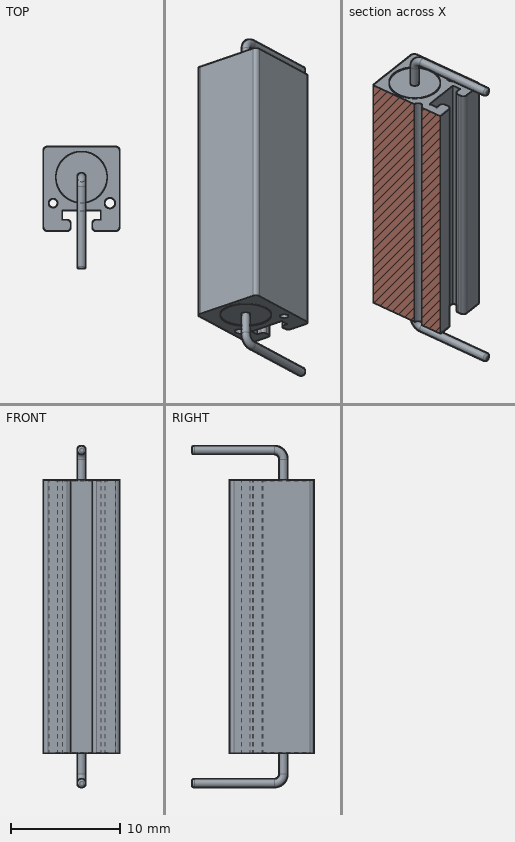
import cadquery as cq

body_width = 7.0
body_depth = 7.75
body_height = 25.02
edge_radius = 0.4

slot_width = 3.5
slot_mouth = 1.95
slot_depth = 1.88
lip_thickness = 1.05
lip_radius = 0.38

recess_diameter = 4.7
recess_depth = 0.1

hole_spacing = 5.2
hole_from_back = 5.2
left_hole_diameter = 0.78
right_hole_diameter = 0.95

lead_diameter = 0.8
lead_from_back = 2.8
bend_radius = 0.85
tip_radius = 0.22
overall_depth = 11.2
overall_height = 31.28

back_y = lead_from_back
front_y = back_y - body_depth
tip_y = back_y - overall_depth
half_height = body_height / 2
lead_z = (overall_height - lead_diameter) / 2


def make_housing():
    block = (
        cq.Workplane("XY")
        .box(body_width, body_depth, body_height)
        .translate((0, (back_y + front_y) / 2, 0))
        .edges("|Z")
        .fillet(edge_radius)
    )
    channel_depth = slot_depth - lip_thickness
    channel = cq.Workplane("XY").box(slot_width, channel_depth, body_height)
    channel = channel.translate((0, front_y + lip_thickness + channel_depth / 2, 0))
    mouth = cq.Workplane("XY").box(slot_mouth, lip_thickness, body_height)
    mouth = mouth.translate((0, front_y + lip_thickness / 2, 0))
    housing = block.cut(channel).cut(mouth)

    lip_box = cq.selectors.BoxSelector(
        (-slot_mouth / 2 - lip_radius / 2, front_y - lip_radius / 2, -half_height),
        (slot_mouth / 2 + lip_radius / 2, front_y + lip_thickness + lip_radius / 2, half_height),
    )
    return housing.edges("|Z").edges(lip_box).fillet(lip_radius)


def make_hole(x, diameter):
    return (
        cq.Workplane("XY", origin=(x, back_y - hole_from_back, -half_height))
        .circle(diameter / 2)
        .extrude(body_height)
    )


def make_recess():
    return (
        cq.Workplane("XY", origin=(0, 0, half_height - recess_depth))
        .circle(recess_diameter / 2)
        .extrude(recess_depth)
    )


def make_lead():
    """Upper lead: rises from the recess floor, then bends towards -Y."""
    start_z = half_height - recess_depth
    bend_z = lead_z - bend_radius
    riser = cq.Workplane("XY", origin=(0, 0, start_z)).circle(lead_diameter / 2).extrude(bend_z - start_z)
    bend = (
        cq.Workplane("XY", origin=(0, 0, bend_z))
        .circle(lead_diameter / 2)
        .revolve(90, (0, -bend_radius, 0), (1, -bend_radius, 0))
    )
    arm = (
        cq.Workplane("XZ", origin=(0, -bend_radius, lead_z))
        .circle(lead_diameter / 2)
        .extrude(-bend_radius - tip_y)
        .faces("<Y")
        .edges()
        .fillet(tip_radius)
    )
    return riser.union(bend).union(arm)


result = make_housing()
result = result.cut(make_hole(-hole_spacing / 2, left_hole_diameter))
result = result.cut(make_hole(hole_spacing / 2, right_hole_diameter))

recess = make_recess()
result = result.cut(recess).cut(recess.mirror("XY"))

lead = make_lead()
result = result.union(lead).union(lead.mirror("XY"))